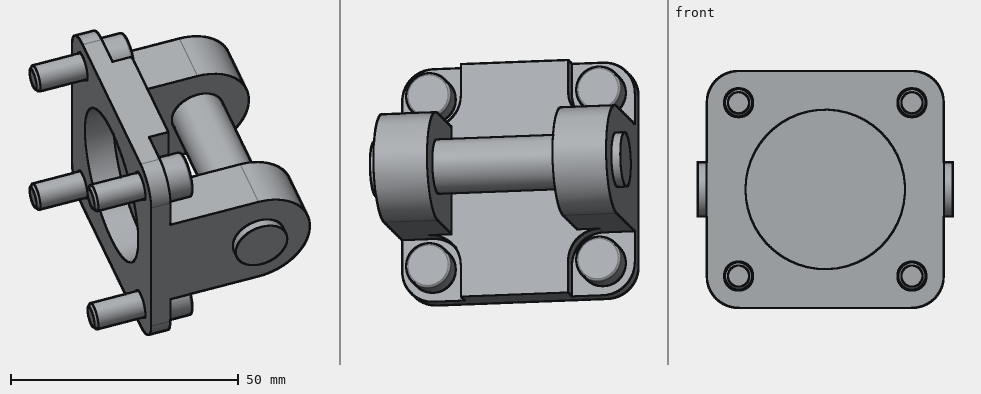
import cadquery as cq

lug_thickness = 12.0
lug_radius = 12.0
pin_length = 56.0
pin_diameter = 12.0
pin_distance = 25.0

plate_size = 52.0
plate_thickness = 4.5
block_thickness = 2 * plate_thickness
corner_radius = 7.0

recess_diameter = 35.0
recess_depth = 6.6

screw_spacing = 38.0
shank_diameter = 6.0
shank_length = 11.55
shank_chamfer = 0.7
head_diameter = 10.0
head_height = 6.0
head_fillet = 0.5
screw_hole_diameter = 6.4
seat_inner_edge = lug_radius
seat_radius = screw_spacing / 2 - seat_inner_edge

corner_signs = [(sign_x, sign_z) for sign_x in (-1, 1) for sign_z in (-1, 1)]


def plane_facing_back(y):
    """Workplane at the given Y that extrudes towards +Y."""
    return cq.Workplane(cq.Plane(origin=(0, y, 0), xDir=(-1, 0, 0), normal=(0, 1, 0)))


def base_block():
    block = plane_facing_back(0).rect(plate_size, plate_size).extrude(block_thickness)
    return block.edges("|Y").fillet(corner_radius)


def screw_seat(sign_x, sign_z):
    """Cutter that thins one corner down to the plate, with a rounded inner corner."""
    side = plate_size / 2
    centre = seat_inner_edge + side / 2
    seat = plane_facing_back(plate_thickness).rect(side, side).extrude(block_thickness - plate_thickness)
    seat = seat.edges("|Y").fillet(seat_radius)
    return seat.translate((sign_x * centre, 0, sign_z * centre))


def screw_hole(sign_x, sign_z):
    """Cutter for the clearance hole through the plate, covered by the screw head."""
    hole = plane_facing_back(0).circle(screw_hole_diameter / 2).extrude(plate_thickness)
    return hole.translate((sign_x * screw_spacing / 2, 0, sign_z * screw_spacing / 2))


def recess():
    return plane_facing_back(0).circle(recess_diameter / 2).extrude(recess_depth)


def lug(centre_x):
    """Upright slab with a full round end about the pin axis."""
    return (
        cq.Workplane("YZ", origin=(centre_x - lug_thickness / 2, 0, 0))
        .moveTo(plate_thickness, -lug_radius)
        .lineTo(pin_distance, -lug_radius)
        .threePointArc((pin_distance + lug_radius, 0), (pin_distance, lug_radius))
        .lineTo(plate_thickness, lug_radius)
        .close()
        .extrude(lug_thickness)
    )


def hinge_pin():
    start = cq.Workplane("YZ", origin=(-pin_length / 2, pin_distance, 0))
    return start.circle(pin_diameter / 2).extrude(pin_length)


def screw(sign_x, sign_z):
    shank = plane_facing_back(-shank_length).circle(shank_diameter / 2)
    shank = shank.extrude(shank_length + plate_thickness)
    shank = shank.faces("<Y").chamfer(shank_chamfer)
    head = plane_facing_back(plate_thickness).circle(head_diameter / 2).extrude(head_height)
    head = head.faces(">Y").edges().fillet(head_fillet)
    return shank.union(head).translate((sign_x * screw_spacing / 2, 0, sign_z * screw_spacing / 2))


result = base_block()
for signs in corner_signs:
    result = result.cut(screw_seat(*signs))

lug_offset = (plate_size - lug_thickness) / 2
for lug_x in (-lug_offset, lug_offset):
    result = result.union(lug(lug_x))

result = result.cut(recess())

for signs in corner_signs:
    result = result.cut(screw_hole(*signs))
    result = result.union(screw(*signs))

result = result.union(hinge_pin())